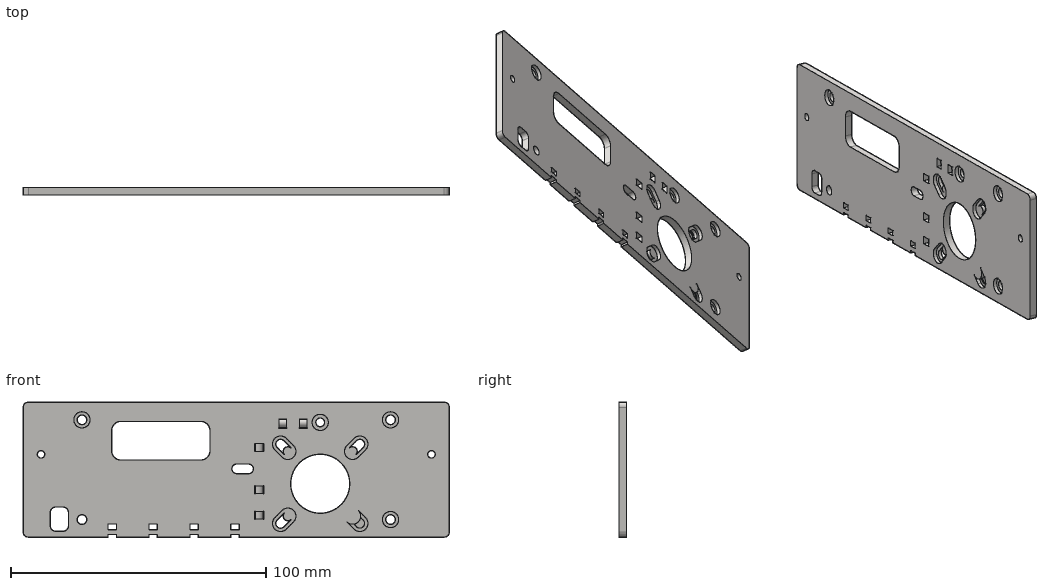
import cadquery as cq
import math

LENGTH = 167.0
HEIGHT = 53.0
THICKNESS = 3.0
CORNER_RADIUS = 2.0

SCREW_DIAMETER = 3.7
HEAD_DIAMETER = 6.3
HEAD_DEPTH = 1.5
SCREW_X = 60.5
SCREW_Z = 19.5
END_HOLE_DIAMETER = 2.8
END_HOLE_X = 76.5
END_HOLE_Z = 6.0

MOTOR_X = 32.9
MOTOR_Z = -5.5
BORE_DIAMETER = 23.0
SLOT_OUTER_OFFSET = 15.5
SLOT_INNER_OFFSET = 12.7
BLIND_SLOT_DEPTH = 2.0
UPPER_SCREW_DIAMETER = 3.3
UPPER_SCREW_Z = 18.5

LARGE_WINDOW = (-29.5, 11.4, 38.4, 15.0, 3.5)
SMALL_WINDOW = (-69.3, -19.4, 7.0, 9.4, 2.0)
CABLE_SLOT_X = 2.5
CABLE_SLOT_Z = 0.3
CABLE_SLOT_LENGTH = 8.4
CABLE_SLOT_HEIGHT = 3.7

TIE_LENGTH = 3.5
TIE_WIDTH = 3.0
TIE_BAR_DIAMETER = 3.3
TIE_BAR_AXIS_DEPTH = 3.3
UPRIGHT_BAR_X = 9.0
UPRIGHT_BAR_ZS = (8.7, -7.8, -17.9)
LEVEL_BAR_XS = (18.2, 26.2)
LEVEL_BAR_Z = 18.0

EDGE_TIE_COUNT = 4
EDGE_TIE_FIRST_X = -48.6
EDGE_TIE_PITCH = 16.0
EDGE_TIE_WIDTH = 3.2
EDGE_TIE_HOLE_HEIGHT = 2.2
EDGE_TIE_HOLE_Z = -22.4
EDGE_NOTCH_DEPTH = 1.0


def block(x, z, width, height):
    """Block through the full thickness, centred on (x, z)."""
    return cq.Workplane("XY").box(width, THICKNESS, height).translate((x, THICKNESS / 2, z))


def rounded_block(x, z, width, height, radius):
    return block(x, z, width, height).edges("|Y").fillet(radius)


def disc(x, z, diameter, depth=THICKNESS):
    """Cylinder reaching from the front face to the given depth."""
    face = cq.Workplane("XZ", origin=(x, 0, z))
    return face.circle(diameter / 2).extrude(-depth)


def slot(x, z, length, width, depth=THICKNESS, angle=0):
    """Round-ended block reaching from the front face to the given depth."""
    face = cq.Workplane("XZ", origin=(x, 0, z))
    return face.slot2D(length, width, angle).extrude(-depth)


def counterbored_hole(x, z, diameter):
    return disc(x, z, diameter).union(disc(x, z, HEAD_DIAMETER, HEAD_DEPTH))


def diagonal_slot(side_x, side_z, width, depth):
    """Slot cut from the front face, pointing at the centre of the motor bore."""
    middle = (SLOT_OUTER_OFFSET + SLOT_INNER_OFFSET) / 2
    end_spacing = (SLOT_OUTER_OFFSET - SLOT_INNER_OFFSET) * math.sqrt(2)
    x = MOTOR_X + side_x * middle
    z = MOTOR_Z + side_z * middle
    return slot(x, z, end_spacing + width, width, depth, 45 * side_x * side_z)


def slot_plug(side_x, side_z, diameter):
    """Disc at the inner end of a diagonal slot."""
    x = MOTOR_X + side_x * SLOT_INNER_OFFSET
    z = MOTOR_Z + side_z * SLOT_INNER_OFFSET
    return disc(x, z, diameter)


def motor_slot(side_x, side_z):
    """Recessed slot whose narrow through part is plugged at its inner end."""
    through = diagonal_slot(side_x, side_z, SCREW_DIAMETER, THICKNESS)
    through = through.cut(slot_plug(side_x, side_z, SCREW_DIAMETER))
    return through.union(diagonal_slot(side_x, side_z, HEAD_DIAMETER, HEAD_DEPTH))


def blind_motor_slot(side_x, side_z):
    """Stepped blind slot, filled flush with the front face at its inner end."""
    recess = diagonal_slot(side_x, side_z, HEAD_DIAMETER, HEAD_DEPTH)
    recess = recess.union(diagonal_slot(side_x, side_z, SCREW_DIAMETER, BLIND_SLOT_DEPTH))
    return recess.cut(slot_plug(side_x, side_z, HEAD_DIAMETER))


def level_tie_opening(x, z):
    """Opening left around a round-topped bar that runs along X."""
    bar = cq.Workplane("YZ", origin=(x - TIE_WIDTH / 2, TIE_BAR_AXIS_DEPTH, z))
    bar = bar.circle(TIE_BAR_DIAMETER / 2).extrude(TIE_WIDTH)
    return block(x, z, TIE_WIDTH, TIE_LENGTH).cut(bar)


def upright_tie_opening(x, z):
    """The same opening turned so that its bar runs along Z."""
    return level_tie_opening(x, z).rotate((x, 0, z), (x, 1, z), 90)


plate = rounded_block(0, 0, LENGTH, HEIGHT, CORNER_RADIUS)

for window in (LARGE_WINDOW, SMALL_WINDOW):
    plate = plate.cut(rounded_block(*window))
plate = plate.cut(slot(CABLE_SLOT_X, CABLE_SLOT_Z, CABLE_SLOT_LENGTH, CABLE_SLOT_HEIGHT))

for x, z in ((-SCREW_X, SCREW_Z), (SCREW_X, SCREW_Z), (SCREW_X, -SCREW_Z)):
    plate = plate.cut(counterbored_hole(x, z, SCREW_DIAMETER))
plate = plate.cut(disc(-SCREW_X, -SCREW_Z, SCREW_DIAMETER))

for x in (-END_HOLE_X, END_HOLE_X):
    plate = plate.cut(disc(x, END_HOLE_Z, END_HOLE_DIAMETER))

plate = plate.cut(disc(MOTOR_X, MOTOR_Z, BORE_DIAMETER))
plate = plate.cut(counterbored_hole(MOTOR_X, UPPER_SCREW_Z, UPPER_SCREW_DIAMETER))
for side_x, side_z in ((-1, 1), (1, 1), (-1, -1)):
    plate = plate.cut(motor_slot(side_x, side_z))
plate = plate.cut(blind_motor_slot(1, -1))

for z in UPRIGHT_BAR_ZS:
    plate = plate.cut(upright_tie_opening(UPRIGHT_BAR_X, z))
for x in LEVEL_BAR_XS:
    plate = plate.cut(level_tie_opening(x, LEVEL_BAR_Z))

notch_z = (EDGE_NOTCH_DEPTH - HEIGHT) / 2
for index in range(EDGE_TIE_COUNT):
    x = EDGE_TIE_FIRST_X + index * EDGE_TIE_PITCH
    plate = plate.cut(block(x, EDGE_TIE_HOLE_Z, EDGE_TIE_WIDTH, EDGE_TIE_HOLE_HEIGHT))
    plate = plate.cut(block(x, notch_z, EDGE_TIE_WIDTH, EDGE_NOTCH_DEPTH))

result = plate.translate((0, -THICKNESS / 2, 0))